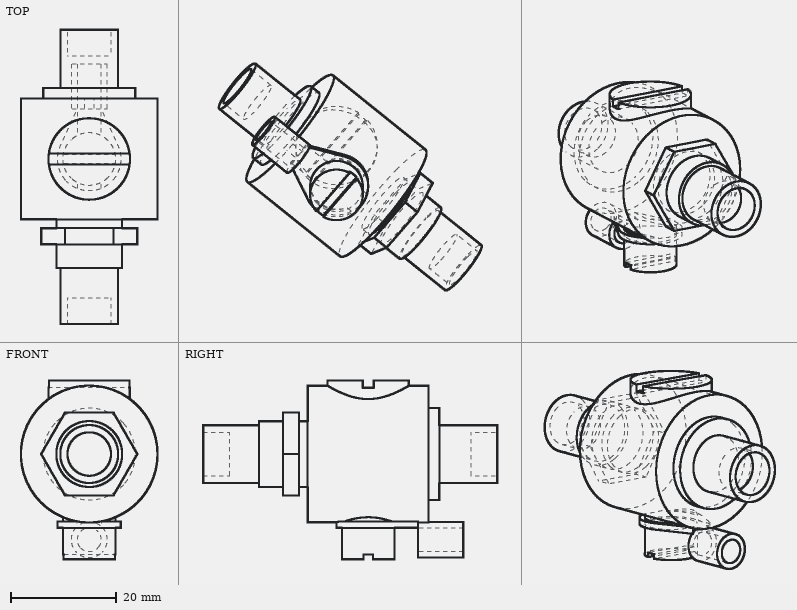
import cadquery as cq
import math

body_diameter = 26.0
body_length = 23.0
overall_length = 55.9

front_tube_end = -31.35
back_tube_end = front_tube_end + overall_length
tube_diameter = 11.0
bore_diameter = 8.3
bore_depth = 5.0

collar_diameter = 12.5
collar_end = -20.75
flange_diameter = 17.5
flange_thickness = 2.0

nut_across_flats = 15.8
nut_back = -13.15
nut_thickness = 3.1

cap_diameter = 15.5
cap_top = 14.0
cap_slot_width = 2.0
cap_slot_depth = 1.35
screw_diameter = 10.0
screw_bottom = -20.0
screw_slot_width = 1.75
screw_slot_depth = 0.9

lug_diameter = 12.1
lug_top = -12.8
lug_thickness = 1.25
lug_taper_start = 2.5
barrel_diameter = 6.8
barrel_bore = 4.5
barrel_start = 9.45
barrel_length = 8.6
barrel_axis_z = -16.25


def cylinder_along_y(diameter, start, end, axis_z=0.0):
    """Cylinder parallel to Y between two Y positions."""
    base = cq.Workplane("XZ", origin=(0, start, axis_z))
    return base.circle(diameter / 2).extrude(start - end)


def round_head(diameter, end_z):
    """Round head reaching from the body axis to end_z."""
    return cq.Workplane("XY").circle(diameter / 2).extrude(end_z)


def head_slot(diameter, end_z, slot_width, slot_depth):
    """Cutter for a slot along X in the end of a round head."""
    slot_middle_z = end_z - math.copysign(slot_depth / 2, end_z)
    slot = cq.Workplane("XY").box(diameter, slot_width, slot_depth)
    return slot.translate((0, 0, slot_middle_z))


def hex_nut():
    corner_diameter = nut_across_flats / math.cos(math.pi / 6)
    base = cq.Workplane("XZ", origin=(0, nut_back, 0))
    return base.polygon(6, corner_diameter).extrude(nut_thickness)


def cable_lug():
    """Round plate with sides tapering tangentially to a crimp barrel."""
    radius = lug_diameter / 2
    wide_half = math.sqrt(radius**2 - lug_taper_start**2)
    tangent_slope = lug_taper_start / wide_half
    narrow_half = wide_half - tangent_slope * (barrel_start - lug_taper_start)
    plate = (
        cq.Workplane("XY", origin=(0, 0, lug_top))
        .moveTo(-wide_half, lug_taper_start)
        .threePointArc((0, -radius), (wide_half, lug_taper_start))
        .lineTo(narrow_half, barrel_start)
        .lineTo(-narrow_half, barrel_start)
        .close()
        .extrude(-lug_thickness)
    )
    barrel_end = barrel_start + barrel_length
    barrel = cylinder_along_y(barrel_diameter, barrel_start, barrel_end, barrel_axis_z)
    bore = cylinder_along_y(barrel_bore, barrel_start, barrel_end, barrel_axis_z)
    return plate.union(barrel.cut(bore))


body_back = body_length / 2
result = cylinder_along_y(body_diameter, -body_back, body_back)
result = result.union(cylinder_along_y(tube_diameter, front_tube_end, back_tube_end))
result = result.union(cylinder_along_y(collar_diameter, collar_end, 0))
result = result.union(cylinder_along_y(flange_diameter, 0, body_back + flange_thickness))
result = result.union(hex_nut())
result = result.union(round_head(cap_diameter, cap_top))
result = result.union(round_head(screw_diameter, screw_bottom))
result = result.union(cable_lug())

result = result.cut(head_slot(cap_diameter, cap_top, cap_slot_width, cap_slot_depth))
result = result.cut(head_slot(screw_diameter, screw_bottom, screw_slot_width, screw_slot_depth))

result = result.cut(cylinder_along_y(bore_diameter, front_tube_end, front_tube_end + bore_depth))
result = result.cut(cylinder_along_y(bore_diameter, back_tube_end - bore_depth, back_tube_end))